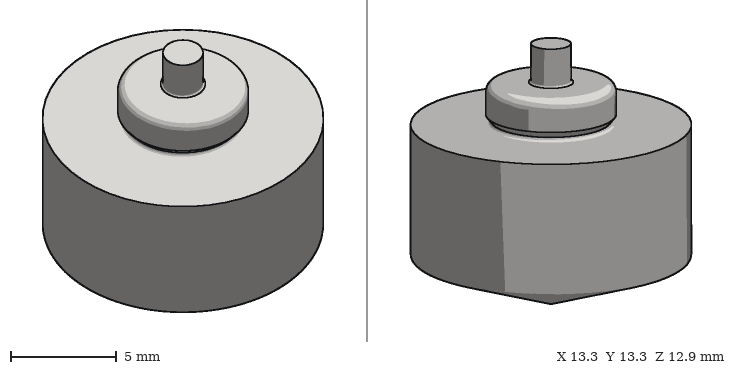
import cadquery as cq
import math

housing_radius = 6.65
cone_angle = 20.0
cone_height = housing_radius * math.tan(math.radians(cone_angle))
housing_top = 8.88
rim_fillet = 0.1

collar_radius = 3.1
collar_top = 10.97
collar_top_fillet = 0.5
collar_band_bottom = 9.4
neck_radius = 2.85
neck_fillet = 0.2

pin_radius = 1.9 / 2
pin_top = 12.87
pin_fillet = 0.1


def concave_arc_offset(radius):
    """Distance from a concave fillet's sharp corner to its arc midpoint, along each axis."""
    return radius * (1 - math.sqrt(0.5))


def make_housing():
    """Revolve the housing, its neck and the collar as one body about Z; the collar tapers to the neck fillet."""
    neck_bend = concave_arc_offset(neck_fillet)
    collar_bend = concave_arc_offset(collar_top_fillet)
    profile = (
        cq.Workplane("XZ")
        .moveTo(0, 0)
        .lineTo(housing_radius, cone_height)
        .lineTo(housing_radius, housing_top)
        .lineTo(neck_radius + neck_fillet, housing_top)
        .threePointArc(
            (neck_radius + neck_bend, housing_top + neck_bend),
            (neck_radius, housing_top + neck_fillet),
        )

        .lineTo(collar_radius, collar_band_bottom)
        .lineTo(collar_radius, collar_top - collar_top_fillet)
        .threePointArc(
            (collar_radius - collar_bend, collar_top - collar_bend),
            (collar_radius - collar_top_fillet, collar_top),
        )
        .lineTo(0, collar_top)
        .close()
    )
    body = profile.revolve(360, (0, 0, 0), (0, 1, 0))
    rim_edges = body.edges("%CIRCLE").edges(cq.selectors.RadiusNthSelector(-1)).edges("<Z")
    return rim_edges.fillet(rim_fillet)


def make_pin():
    """Revolve the pin with the concave fillet at its foot, resting on the collar."""
    foot_bend = concave_arc_offset(pin_fillet)
    return (
        cq.Workplane("XZ")
        .moveTo(0, collar_top)
        .lineTo(pin_radius + pin_fillet, collar_top)
        .threePointArc(
            (pin_radius + foot_bend, collar_top + foot_bend),
            (pin_radius, collar_top + pin_fillet),
        )
        .lineTo(pin_radius, pin_top)
        .lineTo(0, pin_top)
        .close()
        .revolve(360, (0, 0, 0), (0, 1, 0))
    )


housing = make_housing()
pin = make_pin()

result = cq.Compound.makeCompound([housing.val(), pin.val()])